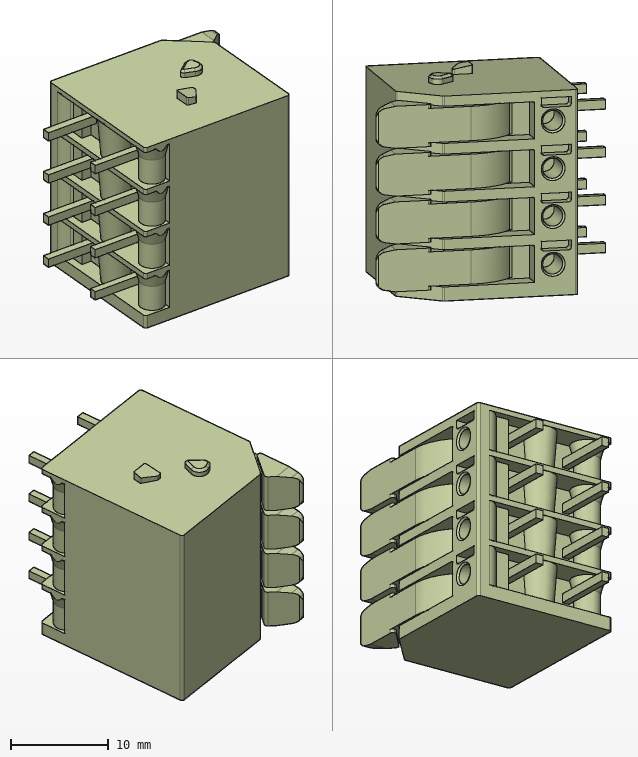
import cadquery as cq
import math


BODY_X = 16.7
BODY_Y = 18.4
BODY_Z = 21.48
OVERALL_Y = 25.3
OVERALL_Z = 22.4
CORNER_R = 0.3
BEVEL_X = 3.57
BEVEL_START_Y = 14.22

POLES = 4
PITCH = 5.0
FIRST_FLOOR_Z = 1.5
POLE_FLOORS = [FIRST_FLOOR_Z + i * PITCH for i in range(POLES)]

CAVITY_H = 4.38
CAVITY_X = 1.42
LEAD_IN_R = 1.5
LEAD_IN_END_X = 2.68
LEDGE_X = 2.9
LEDGE_Y = 0.9
STEP_X = 4.43
STEP_Y = 2.07
DEEP_Y = 3.1

CONE_X = 8.9
CONE_Y = 1.9
CONE_BOTTOM_R = 1.52
CONE_TOP_R = 1.87
POST_X = 15.03
POST_Y = 2.07
POST_R = 1.4
POST_HEAD_R = 1.8
POST_HEAD_H = 1.52

PINS = [(4.45, 0.89), (12.68, 0.8)]
PIN_LENGTH = 4.0
PIN_H = 0.99
PIN_MID_H = 2.28

LEVER_MID_H = 1.95
SLOT_H = 3.9
SLOT_DEPTH = 2.3
SLOT_START_Y = 4.6
SLOT_CORNER_R = 0.2
NECK_H = 3.6
NECK_HEEL_Y = 6.43
NECK_CURVE_END_Y = 6.7
NECK_CURVE_START_Y = 11.3
NECK_CURVE_R = 5.95
NECK_TOP_Y = 17.45
HEAD_H = 4.4
HEAD_BOTTOM_Y = 15.48
HEAD_BOTTOM_X = 0.48
HEAD_BOTTOM_R = 0.33
HEAD_NOSE_X = 2.9
HEAD_NOSE_Y = 18.4
HEAD_NOSE_R = 0.38
TIP_Y = OVERALL_Y - PIN_LENGTH
TIP_X = 0.3
TIP_EDGE_Y = 21.1
TIP_BACK_X = 0.55
TIP_TAPER_START_Y = 19.3
TIP_ROUND_START_Y = 20.47
TIP_TAPER = 0.2
TIP_ROUND = 1.15
TIP_ROUND_BULGE = 0.23

HOLE_D = 2.1
HOLE_Y = 2.65
HOLE_MID_H = 1.8
HOLE_DEPTH = 3.8
HOLE_CHAMFER = 0.2
TEST_START_Y = 0.73
TEST_W = 3.15
TEST_BOTTOM_H = 3.25
TEST_H = 1.0
TEST_DEPTH = 1.26
TEST_CORNER_R = 0.3

PEG_H = OVERALL_Z - BODY_Z
DROP_CORNERS = [(7.0, 13.08, 0.99), (6.5, 13.23, 0.68), (7.2, 11.82, 0.35)]
DROP_H = 0.83
DROP_CHAMFER = 0.28
WEDGE_FRONT_Y = 8.6
WEDGE_BACK_Y = 10.68
WEDGE_LEFT_X = 10.32
WEDGE_POINTS = [
    (WEDGE_LEFT_X, WEDGE_FRONT_Y),
    (12.22, WEDGE_FRONT_Y),
    (12.37, 9.65),
    (10.85, WEDGE_BACK_Y),
    (WEDGE_LEFT_X, WEDGE_BACK_Y),
]
WEDGE_CORNER_R = 0.15
WEDGE_DROP = 0.38


def box(x0, x1, y0, y1, z0, z1):
    """Axis-aligned box between two opposite corners."""
    return cq.Workplane("XY").box(x1 - x0, y1 - y0, z1 - z0, centered=False).translate((x0, y0, z0))


def housing_block():
    outline = [(0, 0), (BODY_X, 0), (BODY_X, BODY_Y), (BEVEL_X, BODY_Y), (0, BEVEL_START_Y)]
    return cq.Workplane("XY").polyline(outline).close().extrude(BODY_Z).edges("|Z").fillet(CORNER_R)


def cavity(floor):
    """Stepped pocket with a rounded lead-in at its -X end."""
    sweep = math.asin((LEAD_IN_END_X - CAVITY_X) / LEAD_IN_R)

    def lead_in_point(angle):
        return CAVITY_X + LEAD_IN_R * math.sin(angle), LEAD_IN_R * (1 - math.cos(angle))

    return (
        cq.Workplane("XY", origin=(0, 0, floor))
        .moveTo(CAVITY_X, 0)
        .threePointArc(lead_in_point(sweep / 2), lead_in_point(sweep))
        .lineTo(LEDGE_X, LEDGE_Y)
        .lineTo(STEP_X, LEDGE_Y)
        .lineTo(STEP_X, STEP_Y)
        .lineTo(CONE_X, STEP_Y)
        .lineTo(CONE_X, DEEP_Y)
        .lineTo(BODY_X, DEEP_Y)
        .lineTo(BODY_X, 0)
        .close()
        .extrude(CAVITY_H)
    )


def columns(floor):
    """Tapered column and flared post, revolved about vertical axes."""
    head_start = CAVITY_H - POST_HEAD_H
    cone_half = [(0, 0), (CONE_BOTTOM_R, 0), (CONE_TOP_R, CAVITY_H), (0, CAVITY_H)]
    post_half = [(0, 0), (POST_R, 0), (POST_R, head_start), (POST_HEAD_R, CAVITY_H), (0, CAVITY_H)]
    cone = cq.Workplane("XZ").polyline(cone_half).close().revolve(360, (0, 0), (0, 1))
    post = cq.Workplane("XZ").polyline(post_half).close().revolve(360, (0, 0), (0, 1))
    return cone.translate((CONE_X, CONE_Y, floor)).union(post.translate((POST_X, POST_Y, floor)))


def pins(floor):
    bottom = floor + PIN_MID_H - PIN_H / 2
    pair = cq.Workplane("XY")
    for left, width in PINS:
        pair = pair.union(box(left, left + width, -PIN_LENGTH, DEEP_Y, bottom, bottom + PIN_H))
    return pair


def lever_slot(floor):
    bottom = floor + LEVER_MID_H - SLOT_H / 2
    slot = box(0, SLOT_DEPTH, SLOT_START_Y, BODY_Y, bottom, bottom + SLOT_H)
    return slot.edges("|X and >Z and <Y").fillet(SLOT_CORNER_R)


def lever_neck(floor):
    """Shank lying in the slot; its lower end curves in toward the slot floor."""
    def curve_x(y):
        return NECK_CURVE_R - math.sqrt(NECK_CURVE_R ** 2 - (NECK_CURVE_START_Y - y) ** 2)

    curve_mid_y = (NECK_CURVE_START_Y + NECK_CURVE_END_Y) / 2
    return (
        cq.Workplane("XY", origin=(0, 0, floor + LEVER_MID_H - NECK_H / 2))
        .moveTo(SLOT_DEPTH, NECK_HEEL_Y)
        .lineTo(SLOT_DEPTH, NECK_TOP_Y)
        .lineTo(0, NECK_TOP_Y)
        .lineTo(0, NECK_CURVE_START_Y)
        .threePointArc((curve_x(curve_mid_y), curve_mid_y), (curve_x(NECK_CURVE_END_Y), NECK_CURVE_END_Y))
        .close()
        .extrude(NECK_H)
    )


def lever_head(floor):
    """Triangular finger tab with a rounded tip, wider than the neck."""
    bottom = floor + LEVER_MID_H - HEAD_H / 2
    side = (
        cq.Workplane("XY", origin=(0, 0, bottom))
        .moveTo(0, HEAD_BOTTOM_Y)
        .lineTo(HEAD_BOTTOM_X, HEAD_BOTTOM_Y)
        .lineTo(HEAD_NOSE_X, HEAD_NOSE_Y)
        .lineTo(TIP_BACK_X, TIP_EDGE_Y)
        .threePointArc((TIP_X, TIP_Y), (0, TIP_EDGE_Y))
        .close()
        .extrude(HEAD_H)
    )
    bottom_edge = side.edges(cq.selectors.NearestToPointSelector((0, HEAD_BOTTOM_Y, bottom + HEAD_H / 2)))
    side = bottom_edge.fillet(HEAD_BOTTOM_R)
    side = side.edges("|Z and >X").fillet(HEAD_NOSE_R)
    round_mid = (TIP_Y - TIP_ROUND_BULGE, TIP_ROUND / 2)
    face = (
        cq.Workplane("YZ", origin=(0, 0, bottom))
        .moveTo(HEAD_BOTTOM_Y, 0)
        .lineTo(TIP_TAPER_START_Y, 0)
        .lineTo(TIP_ROUND_START_Y, TIP_TAPER)
        .threePointArc(round_mid, (TIP_Y, TIP_ROUND))
        .lineTo(TIP_Y, HEAD_H - TIP_ROUND)
        .threePointArc((round_mid[0], HEAD_H - round_mid[1]), (TIP_ROUND_START_Y, HEAD_H - TIP_TAPER))
        .lineTo(TIP_TAPER_START_Y, HEAD_H)
        .lineTo(HEAD_BOTTOM_Y, HEAD_H)
        .close()
        .extrude(HEAD_NOSE_X)
    )
    return side.intersect(face)


def wire_hole(floor):
    """Blind hole along +X with a countersunk mouth."""
    radius = HOLE_D / 2
    half = [(0, 0), (0, radius + HOLE_CHAMFER), (HOLE_CHAMFER, radius), (HOLE_DEPTH, radius), (HOLE_DEPTH, 0)]
    hole = cq.Workplane("XY").polyline(half).close().revolve(360, (0, 0), (1, 0))
    return hole.translate((0, HOLE_Y, floor + HOLE_MID_H))


def test_slot(floor):
    bottom = floor + TEST_BOTTOM_H
    slot = box(0, TEST_DEPTH, TEST_START_Y, TEST_START_Y + TEST_W, bottom, bottom + TEST_H)
    return slot.edges("|X and <Z").fillet(TEST_CORNER_R)


def tangent_angle(first, second):
    """Direction of the outward normal shared by two circles along their outer tangent."""
    dx = second[0] - first[0]
    dy = second[1] - first[1]
    return math.atan2(dy, dx) - math.acos((first[2] - second[2]) / math.hypot(dx, dy))


def on_circle(circle, angle):
    x, y, radius = circle
    return x + radius * math.cos(angle), y + radius * math.sin(angle)


def drop_peg():
    """Teardrop peg: rounded corners joined by their outer tangents, with a chamfered top."""
    count = len(DROP_CORNERS)
    normals = [tangent_angle(DROP_CORNERS[i], DROP_CORNERS[(i + 1) % count]) for i in range(count)]
    outline = cq.Workplane("XY", origin=(0, 0, BODY_Z)).moveTo(*on_circle(DROP_CORNERS[0], normals[-1]))
    for i, corner in enumerate(DROP_CORNERS):
        start = normals[i - 1]
        turn = (normals[i] - start) % (2 * math.pi)
        if i > 0:
            outline = outline.lineTo(*on_circle(corner, start))
        outline = outline.threePointArc(on_circle(corner, start + turn / 2), on_circle(corner, normals[i]))
    return outline.close().extrude(DROP_H).faces(">Z").chamfer(DROP_CHAMFER)


def wedge_peg():
    """Five-sided peg whose top falls away toward +Y."""
    peg = cq.Workplane("XY", origin=(0, 0, BODY_Z)).polyline(WEDGE_POINTS).close().extrude(PEG_H)
    peg = peg.edges("|Z").fillet(WEDGE_CORNER_R)
    top_z = BODY_Z + PEG_H
    slope = (
        cq.Workplane("YZ")
        .polyline([(WEDGE_FRONT_Y, top_z), (WEDGE_BACK_Y, top_z), (WEDGE_BACK_Y, top_z - WEDGE_DROP)])
        .close()
        .extrude(BODY_X)
    )
    return peg.cut(slope)


result = housing_block()
for floor_z in POLE_FLOORS:
    result = result.cut(cavity(floor_z).cut(columns(floor_z)))
    result = result.cut(lever_slot(floor_z)).cut(wire_hole(floor_z)).cut(test_slot(floor_z))
    result = result.union(pins(floor_z)).union(lever_neck(floor_z)).union(lever_head(floor_z))
result = result.union(drop_peg()).union(wedge_peg())